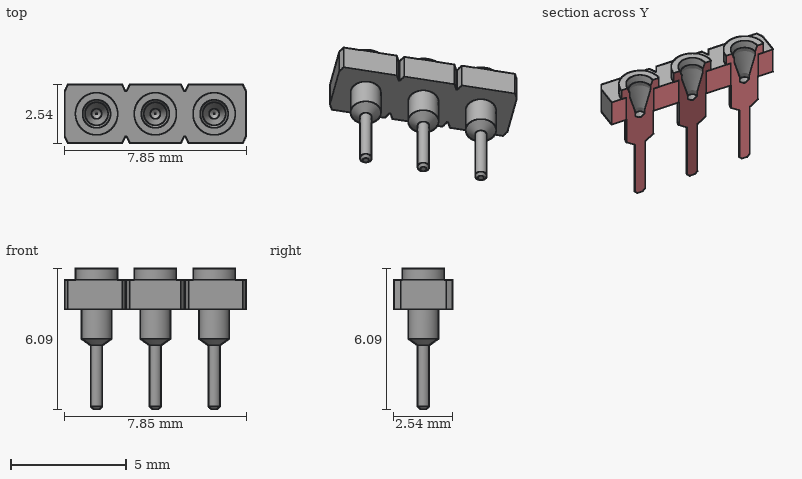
import cadquery as cq

LENGTH = 7.85
PITCH = 2.54
COUNT = 3
WIDTH = PITCH
BLOCK_HEIGHT = WIDTH / 2
TAPER_RUN = 0.14
TAPER_DEPTH = 0.29
NOTCH_FLOOR = 0.05

COLLAR_DIAMETER = 1.83
BARREL_DIAMETER = 1.32
TAIL_DIAMETER = 0.51
COLLAR_HEIGHT = 0.5
BARREL_DROP = BLOCK_HEIGHT
SHOULDER_HEIGHT = 0.29
TAIL_LENGTH = 2.76
TIP_CHAMFER = 0.125

MOUTH_DIAMETER = 1.22
BORE_DIAMETER = 1.0
PILOT_DIAMETER = 0.44
POINT_DIAMETER = 0.055
MOUTH_DEPTH = 0.3
BORE_DEPTH = 0.5
FUNNEL_HEIGHT = 1.0
PILOT_DEPTH = 1.73
DRILL_POINT_HEIGHT = 0.14

BLOCK_TOP = BLOCK_HEIGHT
CONTACT_TOP = BLOCK_TOP + COLLAR_HEIGHT
BARREL_BOTTOM = -BARREL_DROP
TAIL_TOP = BARREL_BOTTOM - SHOULDER_HEIGHT
TAIL_BOTTOM = TAIL_TOP - TAIL_LENGTH

POSITIONS = [(i - (COUNT - 1) / 2) * PITCH for i in range(COUNT)]


def make_block():
    """Notched bar with one through hole per contact."""
    half_length = LENGTH / 2
    half_width = WIDTH / 2
    root_y = half_width - TAPER_DEPTH
    half_floor = NOTCH_FLOOR / 2
    half_opening = half_floor + TAPER_RUN

    back_edge = [(-half_length, root_y), (-half_length + TAPER_RUN, half_width)]
    for x in POSITIONS[:-1]:
        notch_x = x + PITCH / 2
        back_edge += [
            (notch_x - half_opening, half_width),
            (notch_x - half_floor, root_y),
            (notch_x + half_floor, root_y),
            (notch_x + half_opening, half_width),
        ]
    back_edge += [(half_length - TAPER_RUN, half_width), (half_length, root_y)]
    front_edge = [(x, -y) for x, y in reversed(back_edge)]

    bar = cq.Workplane("XY").polyline(back_edge + front_edge).close().extrude(BLOCK_HEIGHT)
    holes = (
        cq.Workplane("XY")
        .pushPoints([(x, 0) for x in POSITIONS])
        .circle(BARREL_DIAMETER / 2)
        .extrude(BLOCK_HEIGHT)
    )
    return bar.cut(holes)


def make_contact(x):
    """Turned contact pin with a blind socket, centred at the given X."""
    collar_radius = COLLAR_DIAMETER / 2
    barrel_radius = BARREL_DIAMETER / 2
    tail_radius = TAIL_DIAMETER / 2
    mouth_radius = MOUTH_DIAMETER / 2
    bore_radius = BORE_DIAMETER / 2
    pilot_radius = PILOT_DIAMETER / 2
    bore_bottom = CONTACT_TOP - BORE_DEPTH
    pilot_bottom = CONTACT_TOP - PILOT_DEPTH
    point_bottom = pilot_bottom - DRILL_POINT_HEIGHT

    outside = [
        (0, TAIL_BOTTOM),
        (tail_radius - TIP_CHAMFER, TAIL_BOTTOM),
        (tail_radius, TAIL_BOTTOM + TIP_CHAMFER),
        (tail_radius, TAIL_TOP),
        (barrel_radius, BARREL_BOTTOM),
        (barrel_radius, BLOCK_TOP),
        (collar_radius, BLOCK_TOP),
        (collar_radius, CONTACT_TOP),
    ]
    socket = [
        (mouth_radius, CONTACT_TOP),
        (bore_radius, CONTACT_TOP - MOUTH_DEPTH),
        (bore_radius, bore_bottom),
        (pilot_radius, bore_bottom - FUNNEL_HEIGHT),
        (pilot_radius, pilot_bottom),
        (POINT_DIAMETER / 2, point_bottom),
        (0, point_bottom),
    ]
    profile = cq.Workplane("XZ").polyline(outside + socket).close()
    return profile.revolve(360, (0, 0, 0), (0, 1, 0)).translate((x, 0, 0))


block = make_block()
contacts = [make_contact(x) for x in POSITIONS]

result = cq.Compound.makeCompound([block.val(), *[contact.val() for contact in contacts]])